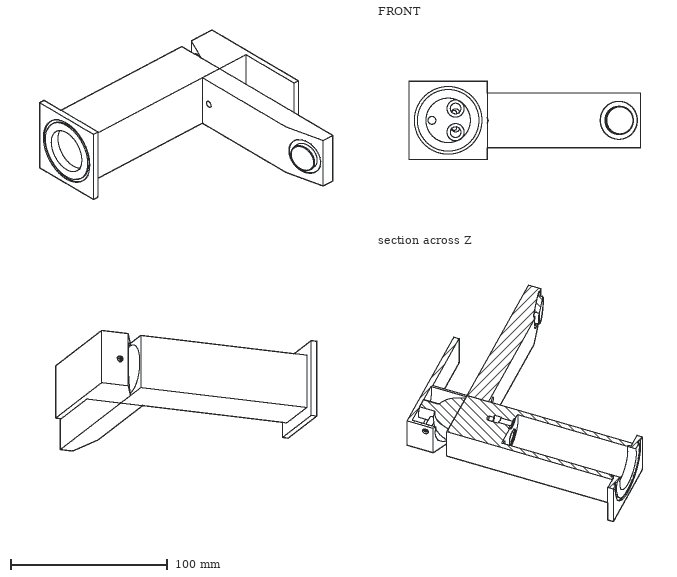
import cadquery as cq
import math


OVERALL_LENGTH = 147.7

PLATE_SIZE = 50.0
PLATE_THICKNESS = 4.0
GROOVE_OUTER_RADIUS = 21.5
GROOVE_INNER_RADIUS = 19.6
GROOVE_DEPTH = 1.0
SPIGOT_RADIUS = 15.7
SPIGOT_LENGTH = 1.9

COLUMN_WIDTH = 35.0
COLUMN_TOP = 117.7
SHAFT_RADIUS = 14.2
SHAFT_FLOOR = 81.2
INLET_X = 4.7
INLET_Z = 7.5
INLET_RADIUS = 3.4
INLET_DEPTH = 8.9
INLET_SEAT_RADIUS = 5.5
INLET_SEAT_DEPTH = 0.7
PORT_Z = 4.7
PORT_RADIUS = 2.7
PORT_DEPTH = 13.3
PORT_TIP_OFFSET = 0.9
PORT_TIP_RADIUS = 1.6
PORT_TIP_DEPTH = 3.0
STUD_HOLE_X = -10.3
STUD_HOLE_RADIUS = 2.5
STUD_HOLE_DEPTH = 8.9
DRILL_POINT_ANGLE = 118

SPOUT_TIP_X = OVERALL_LENGTH - PLATE_SIZE / 2
SPOUT_HEIGHT = 15.0
SPOUT_TIP_HEIGHT = 8.5
SPOUT_BEND_X = 95.0
SPOUT_BEND_RADIUS = 5.9
FIXING_HOLE_X = 23.5
FIXING_HOLE_RADIUS = 2.0
FIXING_HOLE_DEPTH = 5.9

AERATOR_X = 108.9
AERATOR_RADIUS = 9.0
AERATOR_PROTRUSION = 2.5
AERATOR_CHAMFER = 0.5
AERATOR_RECESS_RADIUS = 12.1
AERATOR_RECESS_DEPTH = 0.9

HANDLE_TOP = 144.7
HANDLE_LEFT_X = -18.0
HANDLE_RIGHT_X = COLUMN_WIDTH / 2
BLADE_THICKNESS = 3.8
BLADE_END_X = 62.2
BEVEL_TOP = 126.6
BEVEL_END_X = 0.5
HANDLE_BORE_RADIUS = 16.5
HANDLE_BORE_DEPTH = 24.0

SKIRT_BOTTOM_RADIUS = 15.7
SKIRT_TOP_RADIUS = 13.7
SKIRT_HEIGHT = 5.3
STEM_RADIUS = 5.9
STEM_TOP = COLUMN_TOP + HANDLE_BORE_DEPTH

SCREW_Y = 132.0
SCREW_RADIUS = 1.9
SCREW_HEAD_DEPTH = 1.5
SCREW_SOCKET_RADIUS = 1.0
SCREW_SOCKET_DEPTH = 1.5


def cylinder(radius, start, length, direction):
    """A solid cylinder from the point `start` along `direction`."""
    return cq.Workplane(cq.Solid.makeCylinder(radius, length, cq.Vector(*start), cq.Vector(*direction)))


def upright(radius, bottom, top, x=0, z=0):
    """A cylinder along Y between two heights."""
    return cylinder(radius, (x, bottom, z), top - bottom, (0, 1, 0))


def square_block(width, bottom, top):
    """A square block round the column axis between two heights."""
    return cq.Workplane("XY").box(width, top - bottom, width).translate((0, (bottom + top) / 2, 0))


def extruded_profile(points):
    """A side profile in X and Y, extruded to the column width."""
    return cq.Workplane("XY").polyline(points).close().extrude(COLUMN_WIDTH / 2, both=True)


def drilled_hole(radius, bottom, depth, x, z):
    """An upward drilled hole with a conical end."""
    point = radius / math.tan(math.radians(DRILL_POINT_ANGLE / 2))
    cone = cq.Solid.makeCone(radius, 0, point, cq.Vector(x, bottom + depth, z), cq.Vector(0, 1, 0))
    return upright(radius, bottom, bottom + depth, x, z).union(cq.Workplane(cone))


def make_plate():
    spigot_top = PLATE_THICKNESS + SPIGOT_LENGTH
    groove = upright(GROOVE_OUTER_RADIUS, 0, GROOVE_DEPTH).cut(upright(GROOVE_INNER_RADIUS, 0, GROOVE_DEPTH))
    return (
        square_block(PLATE_SIZE, 0, PLATE_THICKNESS)
        .union(upright(SPIGOT_RADIUS, 0, spigot_top))
        .cut(upright(SHAFT_RADIUS, 0, spigot_top))
        .cut(groove)
    )


def make_column():
    column = (
        square_block(COLUMN_WIDTH, PLATE_THICKNESS, COLUMN_TOP)
        .cut(upright(SPIGOT_RADIUS, PLATE_THICKNESS, PLATE_THICKNESS + SPIGOT_LENGTH))
        .cut(upright(SHAFT_RADIUS, PLATE_THICKNESS, SHAFT_FLOOR))
        .cut(drilled_hole(STUD_HOLE_RADIUS, SHAFT_FLOOR, STUD_HOLE_DEPTH, STUD_HOLE_X, 0))
    )
    seat_top = SHAFT_FLOOR + INLET_SEAT_DEPTH
    port_bottom = SHAFT_FLOOR + INLET_DEPTH
    port_top = SHAFT_FLOOR + PORT_DEPTH
    for side in (-1, 1):
        inlet_z = side * INLET_Z
        port_z = side * PORT_Z
        column = (
            column.cut(upright(INLET_SEAT_RADIUS, SHAFT_FLOOR, seat_top, INLET_X, inlet_z))
            .cut(drilled_hole(INLET_RADIUS, SHAFT_FLOOR, INLET_DEPTH, INLET_X, inlet_z))
            .cut(upright(PORT_RADIUS, port_bottom, port_top, INLET_X, port_z))
            .cut(drilled_hole(PORT_TIP_RADIUS, port_top, PORT_TIP_DEPTH, INLET_X - PORT_TIP_OFFSET, port_z))
        )
    return column


SPOUT_BOTTOM = COLUMN_TOP - SPOUT_HEIGHT
UNDERSIDE_SLOPE = (SPOUT_HEIGHT - SPOUT_TIP_HEIGHT) / (SPOUT_TIP_X - SPOUT_BEND_X)
UNDERSIDE_ANGLE = math.atan(UNDERSIDE_SLOPE)
AERATOR_Y = SPOUT_BOTTOM + UNDERSIDE_SLOPE * (AERATOR_X - SPOUT_BEND_X)
INTO_SPOUT = (-math.sin(UNDERSIDE_ANGLE), math.cos(UNDERSIDE_ANGLE), 0)


def along_aerator(distance):
    """The point on the aerator axis at a distance inside the sloping underside."""
    return (AERATOR_X + distance * INTO_SPOUT[0], AERATOR_Y + distance * INTO_SPOUT[1], 0)


def make_spout():
    spout = extruded_profile([
        (COLUMN_WIDTH / 2, COLUMN_TOP),
        (SPOUT_TIP_X, COLUMN_TOP),
        (SPOUT_TIP_X, COLUMN_TOP - SPOUT_TIP_HEIGHT),
        (SPOUT_BEND_X, SPOUT_BOTTOM),
        (COLUMN_WIDTH / 2, SPOUT_BOTTOM),
    ])
    bend = cq.selectors.NearestToPointSelector((SPOUT_BEND_X, SPOUT_BOTTOM, 0))
    return (
        spout.edges(bend)
        .fillet(SPOUT_BEND_RADIUS)
        .cut(cylinder(AERATOR_RECESS_RADIUS, along_aerator(0), AERATOR_RECESS_DEPTH, INTO_SPOUT))
        .cut(upright(FIXING_HOLE_RADIUS, SPOUT_BOTTOM, SPOUT_BOTTOM + FIXING_HOLE_DEPTH, FIXING_HOLE_X))
    )


def make_aerator():
    length = AERATOR_PROTRUSION + AERATOR_RECESS_DEPTH
    body = cq.Solid.makeCylinder(AERATOR_RADIUS, length)
    body = cq.Workplane(body).faces("<Z").chamfer(AERATOR_CHAMFER).val()
    seat = cq.Plane(along_aerator(-AERATOR_PROTRUSION), (0, 0, 1), INTO_SPOUT)
    return cq.Workplane(body.moved(cq.Location(seat)))


def make_handle():
    screw_length = -STEM_RADIUS - HANDLE_LEFT_X
    return (
        extruded_profile([
            (HANDLE_LEFT_X, HANDLE_TOP),
            (BLADE_END_X, HANDLE_TOP),
            (BLADE_END_X, HANDLE_TOP - BLADE_THICKNESS),
            (HANDLE_RIGHT_X, HANDLE_TOP - BLADE_THICKNESS),
            (HANDLE_RIGHT_X, COLUMN_TOP),
            (BEVEL_END_X, COLUMN_TOP),
            (HANDLE_LEFT_X, BEVEL_TOP),
        ])
        .cut(upright(HANDLE_BORE_RADIUS, COLUMN_TOP, STEM_TOP))
        .cut(cylinder(SCREW_RADIUS, (HANDLE_LEFT_X, SCREW_Y, 0), screw_length, (1, 0, 0)))
    )


def make_cartridge():
    skirt_angle = math.atan((SKIRT_BOTTOM_RADIUS - SKIRT_TOP_RADIUS) / SKIRT_HEIGHT)
    skirt_top = COLUMN_TOP + SKIRT_HEIGHT
    dome_radius = SKIRT_TOP_RADIUS / math.cos(skirt_angle)
    dome_centre = skirt_top - dome_radius * math.sin(skirt_angle)
    dome_top = dome_centre + dome_radius
    mid_angle = (skirt_angle + math.pi / 2) / 2
    dome_middle = (dome_radius * math.cos(mid_angle), dome_centre + dome_radius * math.sin(mid_angle))
    dome = (
        cq.Workplane("XY")
        .moveTo(0, COLUMN_TOP)
        .lineTo(SKIRT_BOTTOM_RADIUS, COLUMN_TOP)
        .lineTo(SKIRT_TOP_RADIUS, skirt_top)
        .threePointArc(dome_middle, (0, dome_top))
        .close()
        .revolve(360, (0, 0), (0, 1))
    )
    return dome.union(upright(STEM_RADIUS, COLUMN_TOP, STEM_TOP))


def make_set_screw():
    head_x = HANDLE_LEFT_X + SCREW_HEAD_DEPTH
    socket = cylinder(SCREW_SOCKET_RADIUS, (head_x, SCREW_Y, 0), SCREW_SOCKET_DEPTH, (1, 0, 0))
    return (
        cylinder(SCREW_RADIUS, (head_x, SCREW_Y, 0), -STEM_RADIUS - head_x, (1, 0, 0))
        .cut(socket)
        .cut(make_cartridge())
    )


plate = make_plate()
column = make_column()
spout = make_spout()
aerator = make_aerator()
handle = make_handle()
cartridge = make_cartridge()
set_screw = make_set_screw()

result = cq.Compound.makeCompound([
    plate.val(),
    column.val(),
    spout.val(),
    aerator.val(),
    handle.val(),
    cartridge.val(),
    set_screw.val(),
])